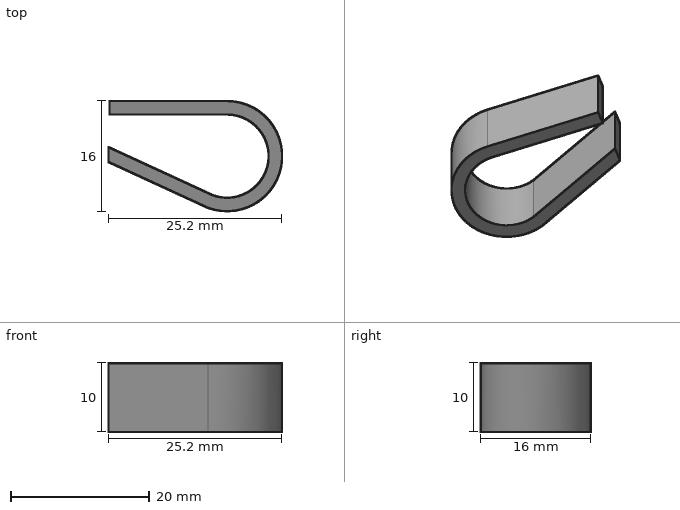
import cadquery as cq
import math

overall_length = 25.18
loop_diameter = 16.0
thickness = 2.0
height = 10.0
upper_arm_length = 17.02
lower_end_drop = 0.85
lower_seam_angle = 20.0

outer_radius = loop_diameter / 2
inner_radius = outer_radius - thickness
lower_arm_reach = overall_length - outer_radius


def lower_seam_point(radius):
    """Point where the lower arm meets the loop circle of the given radius."""
    angle = math.radians(lower_seam_angle)
    return (-radius * math.sin(angle), -radius * math.cos(angle))


outer_seam = lower_seam_point(outer_radius)
inner_seam = lower_seam_point(inner_radius)
outer_end = (-lower_arm_reach, -lower_end_drop)
arm_slope = math.atan2(outer_seam[1] - outer_end[1], outer_seam[0] - outer_end[0])
inner_end = (-lower_arm_reach, -lower_end_drop + thickness / math.cos(arm_slope))

result = (
    cq.Workplane("XY")
    .moveTo(-upper_arm_length, outer_radius)
    .lineTo(0, outer_radius)
    .threePointArc((outer_radius, 0), outer_seam)
    .lineTo(*outer_end)
    .lineTo(*inner_end)
    .lineTo(*inner_seam)
    .threePointArc((inner_radius, 0), (0, inner_radius))
    .lineTo(-upper_arm_length, inner_radius)
    .close()
    .extrude(height)
)